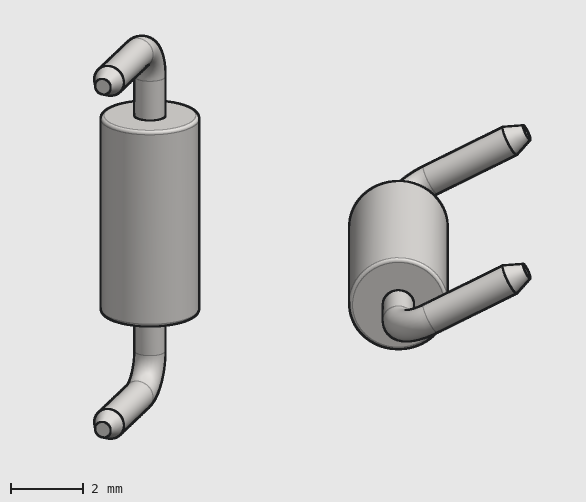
import cadquery as cq

total_height = 10.86
total_depth = 5.36
body_diameter = 2.73
body_height = 5.71
body_edge_radius = 0.1

lead_diameter = 0.87
bend_radius = 1.0
lead_reach = total_depth - body_diameter / 2
tip_length = 0.52
tip_diameter = 0.46

lead_radius = lead_diameter / 2
lead_height = total_height / 2 - lead_radius
bend_start_z = lead_height - bend_radius
taper_start_y = -(lead_reach - tip_length)


def make_body():
    """Cylinder centred on the origin with rounded rims."""
    body = cq.Workplane("XY").cylinder(body_height, body_diameter / 2)
    return body.faces("|Z").edges().fillet(body_edge_radius)


def make_upper_lead():
    """Round wire rising from the body centre, bent to -Y and ending in a tapered tip."""
    path = (
        cq.Workplane("YZ")
        .moveTo(0, 0)
        .lineTo(0, bend_start_z)
        .tangentArcPoint((-bend_radius, lead_height), relative=False)
        .lineTo(taper_start_y, lead_height)
    )
    wire = cq.Workplane("XY").circle(lead_radius).sweep(path)
    tip = (
        cq.Workplane("XZ", origin=(0, taper_start_y, lead_height))
        .circle(lead_radius)
        .workplane(offset=tip_length)
        .circle(tip_diameter / 2)
        .loft()
    )
    return wire.union(tip)


upper_lead = make_upper_lead()
lower_lead = upper_lead.mirror("XY")
result = make_body().union(upper_lead).union(lower_lead)